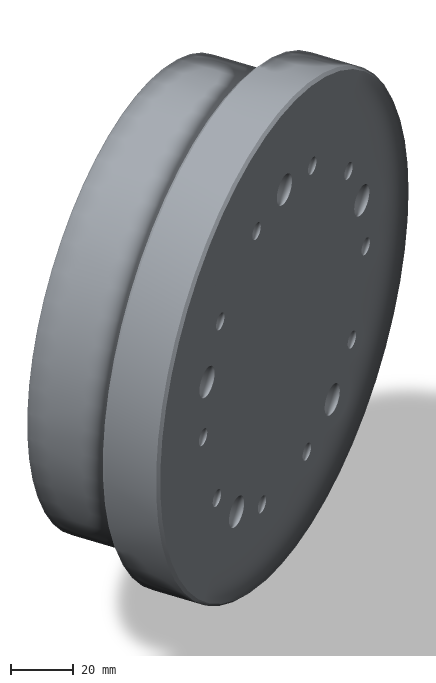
import cadquery as cq

total_length = 52.0
flange_diameter = 179.0
flange_width = 20.5
hub_diameter = 159.9
hub_length = total_length - flange_width

flange_chamfer = 1.0
hub_chamfer = 0.5
recess_chamfer = 0.5

recess_diameter = 150.0
recess_depth = 5.5

pitch_radius = 58.0
large_hole_diameter = 10.8
small_hole_diameter = 6.0
large_hole_count = 5
first_hole_angle = 90.0
small_hole_offset = 20.0


def cylinder(start_x, length, diameter):
    """Solid cylinder along +X, beginning at start_x."""
    return cq.Workplane("YZ", origin=(start_x, 0, 0)).circle(diameter / 2).extrude(length)


def make_hub():
    """Hub with both rims of its recessed end face chamfered."""
    hub = cylinder(0, hub_length, hub_diameter).faces("<X").edges().chamfer(hub_chamfer)
    hub = hub.cut(cylinder(0, recess_depth, recess_diameter))
    recess_radius = recess_diameter / 2
    recess_rim = cq.Solid.makeCone(
        recess_radius + recess_chamfer,
        recess_radius,
        recess_chamfer,
        dir=cq.Vector(1, 0, 0),
    )
    return hub.cut(cq.Workplane(recess_rim))


def make_flange():
    """Wide disc with both outer edges chamfered."""
    flange = cylinder(hub_length, flange_width, flange_diameter)
    return flange.faces("<X or >X").edges().chamfer(flange_chamfer)


def through_holes(start_angle, diameter):
    """Ring of equally spaced cutters running the full length of the part."""
    return (
        cq.Workplane("YZ")
        .polarArray(pitch_radius, start_angle, 360, large_hole_count)
        .circle(diameter / 2)
        .extrude(total_length)
    )


body = make_hub().union(make_flange())
body = body.cut(through_holes(first_hole_angle, large_hole_diameter))
for side in (-1, 1):
    small_hole_angle = first_hole_angle + side * small_hole_offset
    body = body.cut(through_holes(small_hole_angle, small_hole_diameter))

result = body